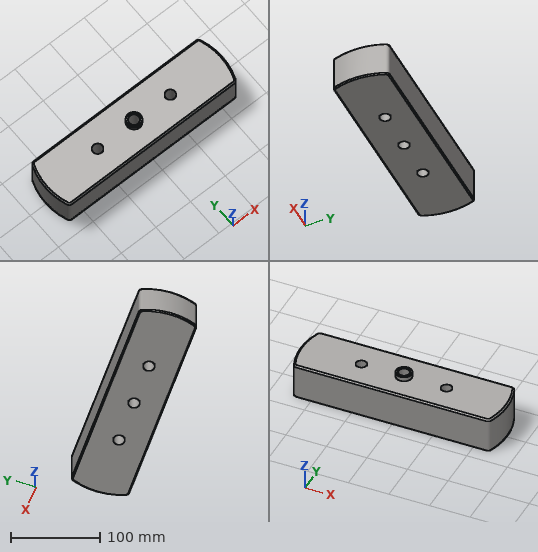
import math

import cadquery as cq

length = 255.0
width = 68.0
body_height = 45.0
end_radius = 85.0
corner_radius = 5.0
top_chamfer = 2.0
bottom_chamfer = 1.5

boss_height = 6.0
boss_diameter = 19.2
boss_rim_chamfer = 0.5

hole_diameter = 13.0
hole_spacing = 52.5


def make_body():
    """Bar with bowed ends, rounded corners and chamfered top and bottom rims."""
    half_length = length / 2
    half_width = width / 2
    end_bow = end_radius - math.sqrt(end_radius**2 - half_width**2)
    corner_x = half_length - end_bow
    body = (
        cq.Workplane("XY")
        .moveTo(-corner_x, -half_width)
        .lineTo(corner_x, -half_width)
        .threePointArc((half_length, 0), (corner_x, half_width))
        .lineTo(-corner_x, half_width)
        .threePointArc((-half_length, 0), (-corner_x, -half_width))
        .close()
        .extrude(body_height)
    )
    body = body.edges("|Z").fillet(corner_radius)
    body = body.faces(">Z").chamfer(top_chamfer)
    return body.faces("<Z").chamfer(bottom_chamfer)


def make_boss():
    """Round bored boss standing on the top face, with both top rims chamfered."""
    boss = (
        cq.Workplane("XY")
        .workplane(offset=body_height)
        .circle(boss_diameter / 2)
        .circle(hole_diameter / 2)
        .extrude(boss_height)
    )
    return boss.faces(">Z").edges().chamfer(boss_rim_chamfer)


def make_holes():
    """Three equal holes through the full body height, the middle one meeting the boss bore."""
    centres = [(-hole_spacing, 0), (0, 0), (hole_spacing, 0)]
    return cq.Workplane("XY").pushPoints(centres).circle(hole_diameter / 2).extrude(body_height)


result = make_body().cut(make_holes()).union(make_boss())